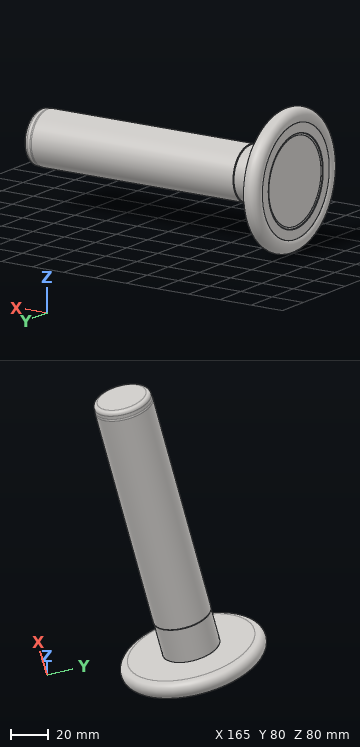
import cadquery as cq
import math

total_length = 165.0
flange_diameter = 80.0
flange_thickness = 10.0
face_recess = 1.0

neck_diameter = 31.5
barrel_diameter = 32.0
barrel_start = 30.0
barrel_end = 159.7
barrel_start_taper = 0.5
barrel_end_taper = 1.0
tip_fillet = 2.3

disc_diameter = 49.8
disc_thickness = 2.0
countersink_width = 1.0
countersink_depth = 0.25
bevel_size = 0.3

rim_radius = flange_thickness / 2
rim_center_radius = flange_diameter / 2 - rim_radius
rim_to_face = rim_radius - face_recess
face_radius = rim_center_radius - math.sqrt(rim_radius**2 - rim_to_face**2)
neck_radius = neck_diameter / 2
barrel_radius = barrel_diameter / 2
disc_radius = disc_diameter / 2
countersink_radius = disc_radius + countersink_width
countersink_top = face_recess + bevel_size
disc_face = countersink_top + countersink_depth
disc_back = disc_face + disc_thickness


def revolve_about_x(profile):
    """Turn a closed XY profile, with Y as radius, about the X axis."""
    return profile.close().revolve(360, (0, 0, 0), (1, 0, 0))


def make_spindle():
    """Turned flange and barrel, with a countersunk recess in the flange face."""
    profile = (
        cq.Workplane("XY")
        .moveTo(disc_back, 0)
        .lineTo(disc_back, disc_radius)
        .lineTo(disc_face, disc_radius)
        .lineTo(countersink_top, countersink_radius)
        .lineTo(face_recess, countersink_radius + bevel_size)
        .lineTo(face_recess, face_radius)
        .threePointArc(
            (rim_radius, flange_diameter / 2),
            (flange_thickness, rim_center_radius),
        )
        .lineTo(flange_thickness, neck_radius)
        .lineTo(barrel_start, neck_radius)
        .lineTo(barrel_start + barrel_start_taper, barrel_radius)
        .lineTo(barrel_end, barrel_radius)
        .lineTo(barrel_end + barrel_end_taper, neck_radius)
        .lineTo(total_length, neck_radius)
        .lineTo(total_length, 0)
    )
    return revolve_about_x(profile).faces(">X").edges().fillet(tip_fillet)


def make_disc():
    """Flat disc that fills the recess in the flange face."""
    return (
        cq.Workplane("YZ")
        .workplane(offset=disc_face)
        .circle(disc_radius)
        .extrude(disc_thickness)
    )


spindle = make_spindle()
disc = make_disc()

result = cq.Compound.makeCompound([spindle.val(), disc.val()])